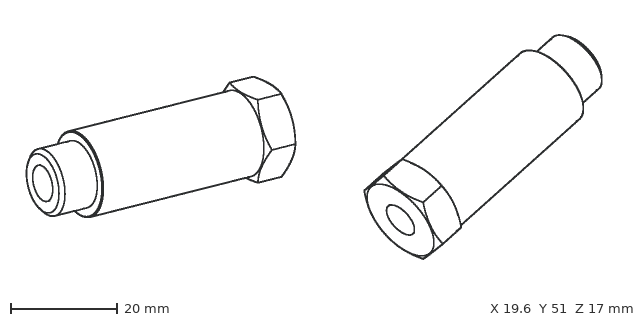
import cadquery as cq
import math

total_length = 51.0
head_length = 7.0
spigot_length = 8.0
body_length = total_length - head_length - spigot_length

across_flats = 17.0
across_corners = across_flats / math.cos(math.pi / 6)
body_diameter = 16.7
spigot_diameter = 13.0
bore_diameter = 7.0

spigot_chamfer = 0.8
body_chamfer = 0.2
head_chamfer_angle = math.radians(30)
head_face_diameter = body_diameter

tip_y = -total_length / 2
shoulder_y = tip_y + spigot_length
head_start_y = shoulder_y + body_length


def cylinder(diameter, start_y, length):
    """Cylinder about the Y axis, growing toward +Y."""
    plane = cq.Workplane("XZ", origin=(0, start_y, 0))
    return plane.circle(diameter / 2).extrude(-length)


def hex_head():
    """Hexagon with corners on X, both ends trimmed by a cone."""
    prism = (
        cq.Workplane("XZ", origin=(0, head_start_y, 0))
        .polygon(6, across_corners)
        .extrude(-head_length)
    )
    corner_radius = across_corners / 2
    face_radius = head_face_diameter / 2
    setback = (corner_radius - face_radius) * math.tan(head_chamfer_angle)
    end_y = head_start_y + head_length
    trimmer = (
        cq.Workplane("XY")
        .moveTo(0, head_start_y)
        .lineTo(face_radius, head_start_y)
        .lineTo(corner_radius, head_start_y + setback)
        .lineTo(corner_radius, end_y - setback)
        .lineTo(face_radius, end_y)
        .lineTo(0, end_y)
        .close()
        .revolve(360, (0, 0, 0), (0, 1, 0))
    )
    return prism.intersect(trimmer)


body = cylinder(body_diameter, shoulder_y, body_length).faces("<Y").chamfer(body_chamfer)
spigot = cylinder(spigot_diameter, tip_y, spigot_length).faces("<Y").chamfer(spigot_chamfer)
bore = cylinder(bore_diameter, tip_y, total_length)

result = hex_head().union(body).union(spigot).cut(bore)